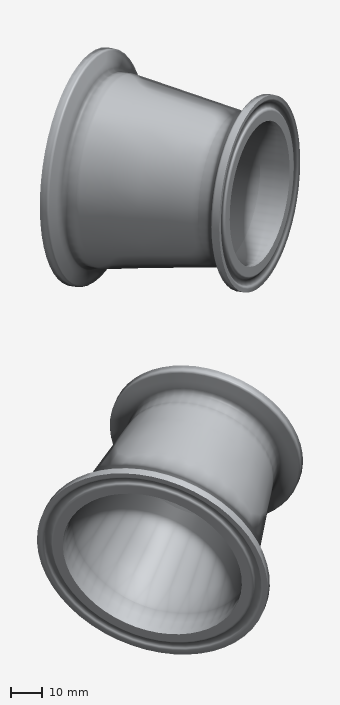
import cadquery as cq
import math

length = 60.0
large_flange_radius = 38.75
small_flange_radius = 32.1
large_tube_radius = 31.8
small_tube_radius = 25.4
wall = 1.7

cone_start = 10.1
cone_end = 49.7
large_bend_radius = 3.9
small_bend_radius = 1.9

rim_width = 2.83
back_angle = math.radians(20)
rim_round = 0.85
neck_round = 1.55

groove_center_offset = 5.15
groove_radius = 1.36
lip_radius = 0.9
groove_angle = math.radians(60)


def draw_rounded_corner(sketch, before, corner, after, radius):
    """Draw a line up to a corner, then the tangent arc that rounds it."""
    corner, before, after = cq.Vector(*corner), cq.Vector(*before), cq.Vector(*after)
    to_before = (before - corner).normalized()
    to_after = (after - corner).normalized()
    half_angle = to_before.getAngle(to_after) / 2
    setback = radius / math.tan(half_angle)
    bisector = (to_before + to_after).normalized()
    middle = corner + bisector * (radius / math.sin(half_angle) - radius)
    start = corner + to_before * setback
    end = corner + to_after * setback
    return sketch.lineTo(start.x, start.y).threePointArc((middle.x, middle.y), (end.x, end.y))


def neck_x(flange_radius, tube_radius):
    """Distance from a flange face to where its sloping back meets the tube."""
    return rim_width + (flange_radius - tube_radius) * math.tan(back_angle)


def make_body():
    outline = [
        (0, large_flange_radius),
        (rim_width, large_flange_radius),
        (neck_x(large_flange_radius, large_tube_radius), large_tube_radius),
        (cone_start, large_tube_radius),
        (cone_end, small_tube_radius),
        (length - neck_x(small_flange_radius, small_tube_radius), small_tube_radius),
        (length - rim_width, small_flange_radius),
        (length, small_flange_radius),
    ]
    corner_radii = [rim_round, neck_round, large_bend_radius, small_bend_radius, neck_round, rim_round]

    profile = cq.Workplane("XZ").moveTo(0, large_tube_radius - wall).lineTo(*outline[0])
    for i, radius in enumerate(corner_radii):
        profile = draw_rounded_corner(profile, outline[i], outline[i + 1], outline[i + 2], radius)
    profile = (
        profile.lineTo(*outline[-1])
        .lineTo(length, small_tube_radius - wall)
        .lineTo(cone_end, small_tube_radius - wall)
        .lineTo(cone_start, large_tube_radius - wall)
        .close()
    )
    return profile.revolve(360, (0, 0), (1, 0))


def make_groove(face_x, inward, bore_radius):
    """Ring to cut from a flange face; inward is +1 or -1 along X."""
    center = bore_radius + groove_center_offset
    depth = (groove_radius + lip_radius) * (1 - math.cos(groove_angle))
    wall_offset = groove_radius * math.sin(groove_angle)
    lip_offset = wall_offset + lip_radius * math.sin(groove_angle)
    wall_depth = lip_radius * (1 - math.cos(groove_angle))
    lip_mid_offset = lip_offset - lip_radius * math.sin(groove_angle / 2)
    lip_mid_depth = lip_radius * (1 - math.cos(groove_angle / 2))

    def point(depth_in, offset):
        return (face_x + inward * depth_in, center + offset)

    return (
        cq.Workplane("XZ")
        .moveTo(*point(0, lip_offset))
        .threePointArc(point(lip_mid_depth, lip_mid_offset), point(wall_depth, wall_offset))
        .threePointArc(point(depth, 0), point(wall_depth, -wall_offset))
        .threePointArc(point(lip_mid_depth, -lip_mid_offset), point(0, -lip_offset))
        .close()
        .revolve(360, (0, 0), (1, 0))
    )


large_groove = make_groove(0, 1, large_tube_radius - wall)
small_groove = make_groove(length, -1, small_tube_radius - wall)
result = make_body().cut(large_groove).cut(small_groove)